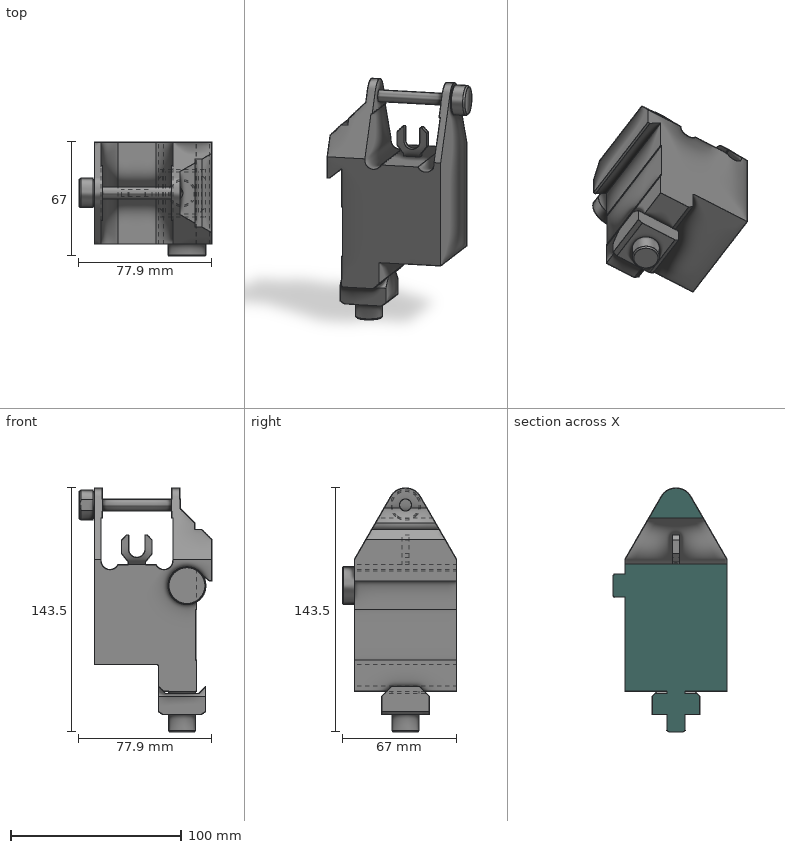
import cadquery as cq
import math


body_width = 60.0
left_face_x = 0
right_face_x = 60.1
nose_x = 69.0
floor_z = 58.7
foot_x = 37.6
foot_bottom_z = -15.8
foot_bevel = 3.2
foot_fillet_radius = 1.0
relief_depth = 0.5
relief_bottom_z = 2.6
relief_top_z = 32.3

pin_z = 93.7
pin_diameter = 7.0
pin_end_x = 50.7
ear_top_radius = 10.0
ear_taper_angle = math.radians(30)
left_ear_x = 4.0
right_ear_x = 46.1
ear_outer_x = 50.2
ear_pad_bottom_z = 86.0
ear_pad_thickness = 0.7
groove_radius = 5.2
groove_bottom_z = 55.8

nose_slope_top_z = 92.0
nose_step_x = 59.1
nose_step_z = 79.4
nose_ledge_x = 63.2
nose_tip_z = 49.1
nose_tip_width = 1.5
nose_undercut_slope = 0.8

pin_head_radius = 8.9
pin_head_length = 8.9
pin_neck_length = 0.7
pin_neck_radius = 8.0
pin_head_chamfer_length = 1.1
pin_head_chamfer_depth = 0.9
pin_head_flat_offset = 8.3

knob_diameter = 22.2
knob_length = 7.0
knob_x = 54.4
knob_z = 46.4
knob_chamfer = 0.6

fork_x = 25.0
fork_width = 18.1
fork_slot_width = 9.5
fork_slot_bottom_z = 63.0
fork_top_z = 76.2
fork_tip_width = 1.3
fork_shoulder_top_z = 73.0
fork_shoulder_bottom_z = 65.2
fork_neck_width = 10.2
fork_neck_z = 60.3
fork_tip_radius = 0.6
fork_thickness = 4.0

clamp_length = 27.8
clamp_width = 28.0
clamp_top_z = -12.8
clamp_channel_z = -17.0
clamp_bottom_z = -29.4
clamp_top_width = 16.2
clamp_bevel_length = 2.6
clamp_bevel_height = 1.7
screw_diameter = 16.0
screw_bottom_z = -39.8
screw_chamfer = 0.9
clamp_x = foot_x + clamp_length / 2
screw_overlap = 1.5


def extrude_about_middle(outline, width):
    """Extrude an XZ outline by width, centred on the middle plane."""
    return outline.extrude(width / 2, both=True)


def x_cylinder(radius, start_x, end_x):
    """Cylinder on the pin axis between two X positions."""
    return cq.Workplane("YZ", origin=(start_x, 0, pin_z)).circle(radius).extrude(end_x - start_x)


def side_profile():
    """Body section in XZ: two ears, grooved floor, stepped nose, relief and foot."""
    top_z = pin_z + ear_top_radius
    groove_z = groove_bottom_z + groove_radius
    groove_drop = groove_z - floor_z
    groove_edge = math.sqrt(groove_radius**2 - groove_drop**2)
    left_groove_x = left_ear_x + groove_radius
    right_groove_x = right_ear_x - groove_radius
    nose_drop = nose_step_x - ear_outer_x
    ledge_drop = nose_x - nose_ledge_x
    undercut_x = nose_x - nose_tip_width
    undercut_top_z = nose_tip_z + (undercut_x - right_face_x) * nose_undercut_slope
    outline = (
        cq.Workplane("XZ")
        .moveTo(left_face_x, 0)
        .lineTo(left_face_x, top_z)
        .lineTo(left_ear_x + ear_pad_thickness, top_z)
        .lineTo(left_ear_x + ear_pad_thickness, ear_pad_bottom_z)
        .lineTo(left_ear_x, ear_pad_bottom_z)
        .lineTo(left_ear_x, groove_z)
        .threePointArc((left_groove_x, groove_bottom_z), (left_groove_x + groove_edge, floor_z))
        .lineTo(right_groove_x - groove_edge, floor_z)
        .threePointArc((right_groove_x, groove_bottom_z), (right_ear_x, groove_z))
        .lineTo(right_ear_x, ear_pad_bottom_z)
        .lineTo(right_ear_x - ear_pad_thickness, ear_pad_bottom_z)
        .lineTo(right_ear_x - ear_pad_thickness, top_z)
        .lineTo(ear_outer_x, top_z)
        .lineTo(ear_outer_x, nose_slope_top_z)
        .lineTo(nose_step_x, nose_slope_top_z - nose_drop)
        .lineTo(nose_step_x, nose_step_z)
        .lineTo(nose_ledge_x, nose_step_z)
        .lineTo(nose_x, nose_step_z - ledge_drop)
        .lineTo(nose_x, nose_tip_z)
        .lineTo(undercut_x, nose_tip_z)
        .lineTo(right_face_x, undercut_top_z)
        .lineTo(right_face_x, relief_top_z)
        .lineTo(right_face_x - relief_depth, relief_top_z)
        .lineTo(right_face_x - relief_depth, relief_bottom_z)
        .lineTo(right_face_x, relief_bottom_z)
        .lineTo(right_face_x, foot_bottom_z)
        .lineTo(foot_x + foot_bevel, foot_bottom_z)
        .lineTo(foot_x, foot_bottom_z + foot_bevel)
        .lineTo(foot_x, -foot_fillet_radius)
        .radiusArc((foot_x - foot_fillet_radius, 0), -foot_fillet_radius)
        .close()
    )
    return extrude_about_middle(outline, body_width)


def end_profile():
    """Body outline in YZ: straight sides that taper up to a round top on the pin axis."""
    half_width = body_width / 2
    tangent_y = ear_top_radius * math.cos(ear_taper_angle)
    tangent_z = pin_z + ear_top_radius * math.sin(ear_taper_angle)
    shoulder_z = tangent_z - (half_width - tangent_y) / math.tan(ear_taper_angle)
    return (
        cq.Workplane("YZ")
        .moveTo(-half_width, foot_bottom_z)
        .lineTo(half_width, foot_bottom_z)
        .lineTo(half_width, shoulder_z)
        .lineTo(tangent_y, tangent_z)
        .threePointArc((0, pin_z + ear_top_radius), (-tangent_y, tangent_z))
        .lineTo(-half_width, shoulder_z)
        .close()
        .extrude(nose_x)
    )


def make_body():
    pin_hole = x_cylinder(pin_diameter / 2, left_face_x, nose_x)
    return side_profile().intersect(end_profile()).cut(pin_hole)


def make_pin():
    """Plain pin with a chamfered head that has one flat on its -Y side."""
    head_end_x = left_face_x - pin_head_length
    head_start_x = left_face_x - pin_neck_length
    head = (
        cq.Workplane("XY", origin=(0, 0, pin_z))
        .moveTo(head_end_x, 0)
        .lineTo(head_end_x, pin_head_radius - pin_head_chamfer_depth)
        .lineTo(head_end_x + pin_head_chamfer_length, pin_head_radius)
        .lineTo(head_start_x, pin_head_radius)
        .lineTo(head_start_x, 0)
        .close()
        .revolve(360, (0, 0, 0), (1, 0, 0))
    )
    head_keep = cq.Workplane("XY").box(
        pin_head_length, 2 * pin_head_radius, 2 * pin_head_radius, centered=(False, False, True)
    ).translate((head_end_x, -pin_head_flat_offset, pin_z))
    neck = x_cylinder(pin_neck_radius, head_start_x, left_face_x)
    rod = x_cylinder(pin_diameter / 2, head_start_x, pin_end_x)
    return head.intersect(head_keep).union(neck).union(rod)


def make_knob():
    """Round knob on the -Y face of the body."""
    return (
        cq.Workplane("XZ", origin=(knob_x, -body_width / 2, knob_z))
        .circle(knob_diameter / 2)
        .extrude(knob_length)
        .faces("<Y")
        .chamfer(knob_chamfer)
    )


def make_fork():
    """Upright plate with an open round-bottomed slot and rounded tips."""
    half_width = fork_width / 2
    half_slot = fork_slot_width / 2
    half_neck = fork_neck_width / 2
    slot_centre_z = fork_slot_bottom_z + half_slot
    outline = (
        cq.Workplane("XZ", origin=(fork_x, 0, 0))
        .moveTo(-half_neck, floor_z)
        .lineTo(-half_neck, fork_neck_z)
        .lineTo(-half_width, fork_shoulder_bottom_z)
        .lineTo(-half_width, fork_shoulder_top_z)
        .lineTo(-half_slot - fork_tip_width, fork_top_z)
        .lineTo(-half_slot, fork_top_z)
        .lineTo(-half_slot, slot_centre_z)
        .threePointArc((0, fork_slot_bottom_z), (half_slot, slot_centre_z))
        .lineTo(half_slot, fork_top_z)
        .lineTo(half_slot + fork_tip_width, fork_top_z)
        .lineTo(half_width, fork_shoulder_top_z)
        .lineTo(half_width, fork_shoulder_bottom_z)
        .lineTo(half_neck, fork_neck_z)
        .lineTo(half_neck, floor_z)
        .close()
    )
    plate = extrude_about_middle(outline, fork_thickness)
    return plate.faces(">Z").edges("|Y").fillet(fork_tip_radius)


def make_clamp():
    """Channelled clamp with sloped shoulders and bevelled lower edges."""
    half_length = clamp_length / 2
    half_width = clamp_width / 2
    half_top = clamp_top_width / 2
    half_channel = half_length - (clamp_top_z - clamp_channel_z)
    bevel_z = clamp_bottom_z + clamp_bevel_height
    shoulder_z = clamp_top_z - (half_width - half_top)
    channel = (
        cq.Workplane("XZ", origin=(clamp_x, 0, 0))
        .moveTo(-half_length, clamp_top_z)
        .lineTo(-half_channel, clamp_channel_z)
        .lineTo(half_channel, clamp_channel_z)
        .lineTo(half_length, clamp_top_z)
        .lineTo(half_length, bevel_z)
        .lineTo(half_length - clamp_bevel_length, clamp_bottom_z)
        .lineTo(-half_length + clamp_bevel_length, clamp_bottom_z)
        .lineTo(-half_length, bevel_z)
        .close()
    )
    shoulders = (
        cq.Workplane("YZ", origin=(foot_x, 0, 0))
        .moveTo(-half_width, clamp_bottom_z)
        .lineTo(half_width, clamp_bottom_z)
        .lineTo(half_width, shoulder_z)
        .lineTo(half_top, clamp_top_z)
        .lineTo(-half_top, clamp_top_z)
        .lineTo(-half_width, shoulder_z)
        .close()
        .extrude(clamp_length)
    )
    return extrude_about_middle(channel, clamp_width).intersect(shoulders)


def make_screw():
    """Screw that passes through the clamp into the foot."""
    return (
        cq.Workplane("XY", origin=(clamp_x, 0, screw_bottom_z))
        .circle(screw_diameter / 2)
        .extrude(foot_bottom_z + screw_overlap - screw_bottom_z)
        .faces("<Z")
        .chamfer(screw_chamfer)
    )


result = make_body()
for component in (make_pin(), make_knob(), make_fork(), make_screw(), make_clamp()):
    result = result.union(component)